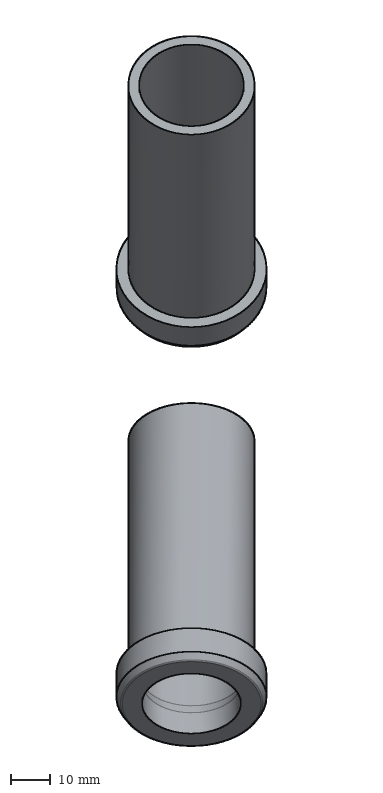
import cadquery as cq
import math

total_height = 83.5
sleeve_diameter = 32.0
collar_diameter = 38.0
collar_height = 9.5
lead_in_height = 2.0
lead_in_angle = 30.0
lead_in_edge_radius = 0.5
main_bore_diameter = 26.5
end_bore_diameter = 25.0
bore_step_angle = 15.0


def run_of_cone(height, angle):
    """Radial change of a cone that rises by height at an angle from the axis."""
    return height * math.tan(math.radians(angle))


def make_collar():
    """Collar with a conical lead-in and a softened edge at the bottom."""
    radius = collar_diameter / 2
    bottom_radius = radius - run_of_cone(lead_in_height, lead_in_angle)
    profile = (
        cq.Workplane("XZ")
        .lineTo(bottom_radius, 0)
        .lineTo(radius, lead_in_height)
        .lineTo(radius, collar_height)
        .lineTo(0, collar_height)
        .close()
    )
    collar = profile.revolve(360, (0, 0), (0, 1))
    return collar.faces("<Z").edges().fillet(lead_in_edge_radius)


def make_sleeve():
    """Plain cylinder over the full height."""
    return cq.Workplane("XY").circle(sleeve_diameter / 2).extrude(total_height)


def make_bore():
    """Through bore that narrows over a short cone at the top of the collar."""
    main_radius = main_bore_diameter / 2
    end_radius = end_bore_diameter / 2
    step_height = (main_radius - end_radius) / math.tan(math.radians(bore_step_angle))
    profile = (
        cq.Workplane("XZ")
        .lineTo(end_radius, 0)
        .lineTo(end_radius, collar_height - step_height)
        .lineTo(main_radius, collar_height)
        .lineTo(main_radius, total_height)
        .lineTo(0, total_height)
        .close()
    )
    return profile.revolve(360, (0, 0), (0, 1))


result = make_collar().union(make_sleeve()).cut(make_bore())